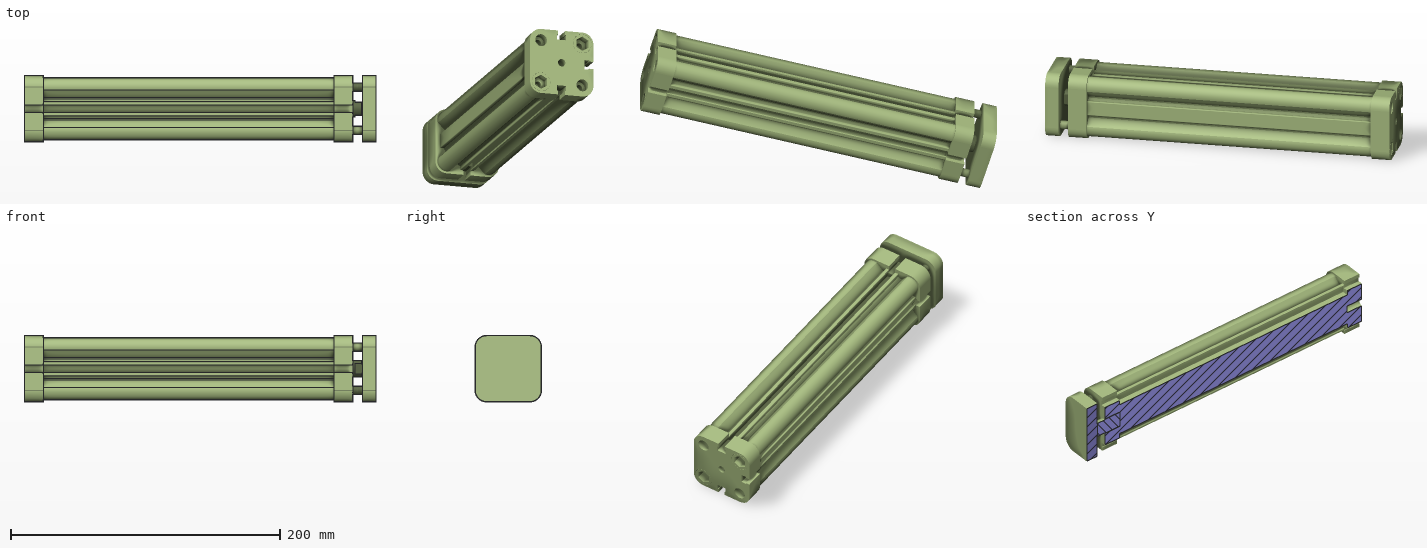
import cadquery as cq
import math

total_length = 261.5
side = 49.5
half_side = side / 2
corner_radius = 8.5

cap_length = 14.0
plate_thickness = 10.2
plate_gap = 7.0
plate_start = total_length - plate_thickness
housing_length = plate_start - plate_gap
front_cap_start = housing_length - cap_length

corner_axis = half_side - corner_radius

lobe_radius = 7.0
flank_start = 13.9
flank_end = 8.4
valley_end = 7.3
gutter_rise = 1.0
lip_half_width = 5.5
lip_depth = 3.7
lip_rounding = 0.5

slotted_side_angles = (0, 90, 180)
slot_width = 5.5
cap_slot_inner_width = 7.0
barrel_slot_inner_width = 8.4
cap_neck_depth = 3.1
cap_slot_depth = 7.0
barrel_neck_height = 1.3
barrel_neck_depth = lip_depth + barrel_neck_height
barrel_slot_depth = 11.0

screw_hole_radius = 2.4
screw_recess_diameter = 9.2
recess_depth = 7.8
centre_hole_radius = 3.0

head_radius = 7.0
head_clearance = 0.13
rod_radius = 3.1
hex_across_flats = 9.5

piston_radius = 6.3
flats_across = 10.0
flats_start = housing_length + 1.5
piston_chamfer = 0.5

plain_corners = [(corner_axis, corner_axis), (-corner_axis, -corner_axis)]
guide_corners = [(-corner_axis, corner_axis), (corner_axis, -corner_axis)]


def section(x):
    """Workplane across the part at station x, with local axes along Y and Z."""
    return cq.Workplane("YZ", origin=(x, 0, 0))


def rod(x_start, x_end, radius, axis=(0, 0)):
    """Cylinder along X about the given (y, z) axis."""
    return section(x_start).center(*axis).circle(radius).extrude(x_end - x_start)


def rounded_block(x_start, x_end):
    """Square block with the rounded corners shared by the caps and the plate."""
    return section(x_start).rect(side, side).extrude(x_end - x_start).edges("|X").fillet(corner_radius)


def quarter_turn(point, quarter):
    """Rotate a (y, z) point by the given number of quarter turns."""
    y, z = point
    for _ in range(quarter):
        y, z = -z, y
    return y, z


def make_barrel():
    """Extrude four identical sides, joined at the corners by the arcs of the lobes."""
    flank_top = corner_axis + math.sqrt(lobe_radius**2 - (corner_axis - flank_start) ** 2)
    valley = flank_top - (flank_start - flank_end)
    gutter_top = valley + gutter_rise
    lip_top = half_side - lip_depth
    lobe_tip = corner_axis + lobe_radius * math.sqrt(0.5)
    rounding_end = lip_half_width - lip_rounding
    rounding_start = lip_top - lip_rounding
    rounding_middle = rounding_end + lip_rounding * math.sqrt(0.5)
    rounding_height = rounding_start + lip_rounding * math.sqrt(0.5)

    outline = section(cap_length).moveTo(flank_start, flank_top)
    for quarter in range(4):
        def place(across, out):
            return quarter_turn((across, out), quarter)

        outline = (
            outline
            .lineTo(*place(flank_end, valley))
            .lineTo(*place(valley_end, valley))
            .lineTo(*place(lip_half_width, gutter_top))
            .lineTo(*place(lip_half_width, rounding_start))
            .threePointArc(place(rounding_middle, rounding_height), place(rounding_end, lip_top))
            .lineTo(*place(-rounding_end, lip_top))
            .threePointArc(place(-rounding_middle, rounding_height), place(-lip_half_width, rounding_start))
            .lineTo(*place(-lip_half_width, gutter_top))
            .lineTo(*place(-valley_end, valley))
            .lineTo(*place(-flank_end, valley))
            .lineTo(*place(-flank_start, flank_top))
            .threePointArc(place(-lobe_tip, lobe_tip), place(-flank_top, flank_start))
        )
    return outline.close().extrude(front_cap_start - cap_length)


def slot_cutter(x_start, x_end, neck_depth, inner_width, depth):
    """T-slot cutter for the +Z side, with all depths measured down from that side."""
    outline = [
        (slot_width / 2, half_side),
        (slot_width / 2, half_side - neck_depth),
        (inner_width / 2, half_side - neck_depth),
        (inner_width / 2, half_side - depth),
    ]
    outline += [(-across, out) for across, out in reversed(outline)]
    return section(x_start).polyline(outline).close().extrude(x_end - x_start)


def make_slots():
    """Cutter for one whole side: the cap slots with the deeper barrel slot between them."""
    cap_slot = (cap_neck_depth, cap_slot_inner_width, cap_slot_depth)
    barrel_slot = (barrel_neck_depth, barrel_slot_inner_width, barrel_slot_depth)
    slots = slot_cutter(0, cap_length, *cap_slot)
    slots = slots.union(slot_cutter(cap_length, front_cap_start, *barrel_slot))
    return slots.union(slot_cutter(front_cap_start, housing_length, *cap_slot))


def cut_holes(body):
    """Cut the screw holes, the guide rod bores, the centre hole and the piston rod bore."""
    for axis in plain_corners:
        body = body.cut(rod(0, recess_depth, screw_recess_diameter / 2, axis))
        body = body.cut(rod(0, cap_length, screw_hole_radius, axis))
    for axis in guide_corners:
        body = body.cut(rod(0, cap_length, head_radius + head_clearance, axis))
        body = body.cut(rod(0, housing_length, rod_radius, axis))
    body = body.cut(rod(0, cap_length, centre_hole_radius))
    return body.cut(rod(front_cap_start, housing_length, piston_radius))


def make_housing():
    """Barrel and its two end caps in one piece."""
    body = make_barrel()
    body = body.union(rounded_block(0, cap_length))
    body = body.union(rounded_block(front_cap_start, housing_length))
    slots = make_slots()
    for angle in slotted_side_angles:
        body = body.cut(slots.rotate((0, 0, 0), (1, 0, 0), angle))
    return cut_holes(body)


def make_guide_rod(axis):
    """Rod reaching from its head in the rear face to the front plate."""
    head = rod(0, cap_length, head_radius, axis)
    body = head.union(rod(cap_length, plate_start, rod_radius, axis))
    hex_across_corners = hex_across_flats / math.cos(math.pi / 6)
    socket = (
        section(0).center(*axis).transformed(rotate=(0, 0, 90))
        .polygon(6, hex_across_corners).extrude(recess_depth)
    )
    return body.cut(socket).cut(rod(0, cap_length, screw_hole_radius, axis))


def make_piston_rod():
    """Rod with a chamfered end and two wrench flats facing -Y and +Y."""
    body = rod(front_cap_start, plate_start, piston_radius).faces(">X").chamfer(piston_chamfer)
    between_flats = (
        section(flats_start).rect(flats_across, 2 * piston_radius).extrude(plate_start - flats_start)
    )
    round_end = rod(flats_start, plate_start, piston_radius)
    return body.cut(round_end.cut(between_flats))


housing = make_housing()
guide_rods = [make_guide_rod(axis) for axis in guide_corners]
piston_rod = make_piston_rod()
front_plate = rounded_block(plate_start, total_length)

result = cq.Compound.makeCompound([
    housing.val(),
    *[guide_rod.val() for guide_rod in guide_rods],
    piston_rod.val(),
    front_plate.val(),
])